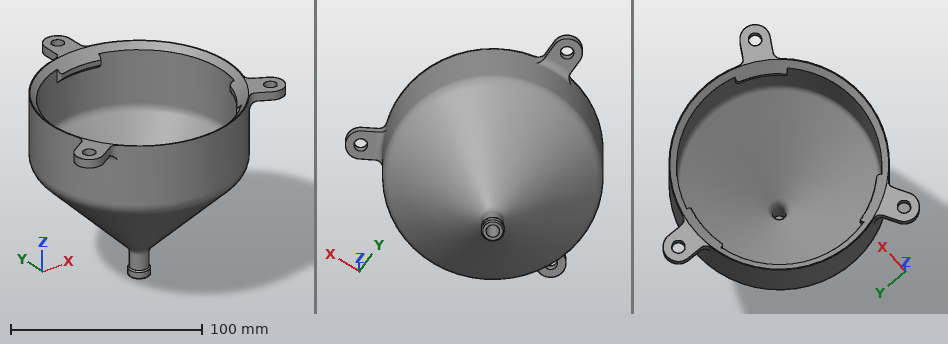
import cadquery as cq
import math

TOTAL_HEIGHT = 107.5
BODY_RADIUS = 57.5
WALL = 4.0
CONE_START_DEPTH = 39.4
SHOULDER_RADIUS = 10.0

SPOUT_RADIUS = 5.25
BORE_RADIUS = 3.5
THROAT_RADIUS = 5.0
COLLAR_RADIUS = 6.0
COLLAR_HEIGHT = 5.0
COLLAR_CHAMFER = COLLAR_RADIUS - SPOUT_RADIUS

RIM_LAND = 0.5

LUG_COUNT = 3
LUG_FIRST_ANGLE = 90
LUG_CENTRE_RADIUS = 69.0
LUG_END_RADIUS = 8.0
LUG_HOLE_DIAMETER = 7.0
LUG_THICKNESS = 5.0
LUG_ROOT_FILLET = 4.0

TAB_HALF_ANGLE = 15.0
TAB_INNER_RADIUS = 51.0
TAB_BOTTOM_DEPTH = 9.0
TAB_CORNER_RADIUS = 1.5

INNER_RADIUS = BODY_RADIUS - WALL
TOLERANCE = 0.01
LUG_ANGLES = [LUG_FIRST_ANGLE + i * 360 / LUG_COUNT for i in range(LUG_COUNT)]
CONE_TURN = math.radians(45)


def rounding_points(corner_radius, corner_depth, rounding, side):
    """Start, middle and end (r, z) of a rounding between a vertical wall and the 45 degree cone.

    The start lies on the vertical wall. side is 1 where the wall is above the cone
    and -1 where it is below.
    """
    setback = rounding * math.tan(CONE_TURN / 2)
    centre_r = corner_radius - side * rounding
    centre_z = -corner_depth + side * setback
    points = []
    for turn in (0, CONE_TURN / 2, CONE_TURN):
        r = centre_r + side * rounding * math.cos(turn)
        z = centre_z - side * rounding * math.sin(turn)
        points.append((r, z))
    return points


def revolve_profile(profile):
    """Close an (r, z) outline and turn it about the funnel axis."""
    return profile.close().revolve(360, (0, 0, 0), (0, 1, 0))


def make_outer_body():
    spout_corner_depth = CONE_START_DEPTH + BODY_RADIUS - SPOUT_RADIUS
    shoulder = rounding_points(BODY_RADIUS, CONE_START_DEPTH, SHOULDER_RADIUS, 1)
    throat = rounding_points(SPOUT_RADIUS, spout_corner_depth, THROAT_RADIUS, -1)
    collar_top = -TOTAL_HEIGHT + COLLAR_HEIGHT
    profile = (
        cq.Workplane("XZ")
        .moveTo(0, 0)
        .lineTo(BODY_RADIUS, 0)
        .lineTo(*shoulder[0])
        .threePointArc(shoulder[1], shoulder[2])
        .lineTo(*throat[2])
        .threePointArc(throat[1], throat[0])
        .lineTo(SPOUT_RADIUS, collar_top)
        .lineTo(COLLAR_RADIUS, collar_top - COLLAR_CHAMFER)
        .lineTo(COLLAR_RADIUS, -TOTAL_HEIGHT + COLLAR_CHAMFER)
        .lineTo(COLLAR_RADIUS - COLLAR_CHAMFER, -TOTAL_HEIGHT)
        .lineTo(0, -TOTAL_HEIGHT)
    )
    return revolve_profile(profile)


def make_cavity():
    """Inside of the funnel, a constant wall thickness away from the outside."""
    corner_depth = CONE_START_DEPTH - WALL * math.tan(CONE_TURN / 2)
    bore_corner_depth = corner_depth + INNER_RADIUS - BORE_RADIUS
    shoulder = rounding_points(INNER_RADIUS, corner_depth, SHOULDER_RADIUS - WALL, 1)
    throat = rounding_points(BORE_RADIUS, bore_corner_depth, THROAT_RADIUS + WALL, -1)
    profile = (
        cq.Workplane("XZ")
        .moveTo(0, 0)
        .lineTo(INNER_RADIUS, 0)
        .lineTo(*shoulder[0])
        .threePointArc(shoulder[1], shoulder[2])
        .lineTo(*throat[2])
        .threePointArc(throat[1], throat[0])
        .lineTo(BORE_RADIUS, -TOTAL_HEIGHT)
        .lineTo(0, -TOTAL_HEIGHT)
    )
    return revolve_profile(profile)


def make_lug(angle):
    """Lug with a rounded end, reaching inward into the body wall."""
    root = INNER_RADIUS + WALL / 2
    lug = (
        cq.Workplane("XY")
        .moveTo(root, -LUG_END_RADIUS)
        .lineTo(LUG_CENTRE_RADIUS, -LUG_END_RADIUS)
        .threePointArc((LUG_CENTRE_RADIUS + LUG_END_RADIUS, 0), (LUG_CENTRE_RADIUS, LUG_END_RADIUS))
        .lineTo(root, LUG_END_RADIUS)
        .close()
        .extrude(-LUG_THICKNESS)
    )
    return lug.rotate((0, 0, 0), (0, 0, 1), angle)


def make_lug_hole(angle):
    hole = (
        cq.Workplane("XY")
        .center(LUG_CENTRE_RADIUS, 0)
        .circle(LUG_HOLE_DIAMETER / 2)
        .extrude(-LUG_THICKNESS)
    )
    return hole.rotate((0, 0, 0), (0, 0, 1), angle)


def fillet_lug_roots(body):
    """Round the sides and underside of each lug where it meets the body."""
    roots = []
    for edge in body.edges().vals():
        ends = [edge.startPoint(), edge.endPoint()]
        on_wall = all(abs(math.hypot(p.x, p.y) - BODY_RADIUS) < TOLERANCE for p in ends)
        within_lug = edge.BoundingBox().zmin > -LUG_THICKNESS - TOLERANCE
        below_rim = edge.Center().z < -TOLERANCE
        if on_wall and within_lug and below_rim:
            roots.append(edge)
    return body.newObject(roots).fillet(LUG_ROOT_FILLET)


def make_tab(angle):
    """Sector of a ring projecting inward from the wall beside a lug, with a 45 degree underside.

    Only the inner corner at the counterclockwise end is rounded.
    """
    outer_radius = INNER_RADIUS + WALL / 2
    outer_depth = TAB_BOTTOM_DEPTH + outer_radius - TAB_INNER_RADIUS
    tab = (
        cq.Workplane("XZ")
        .moveTo(TAB_INNER_RADIUS, 0)
        .lineTo(outer_radius, 0)
        .lineTo(outer_radius, -outer_depth)
        .lineTo(TAB_INNER_RADIUS, -TAB_BOTTOM_DEPTH)
        .close()
        .revolve(2 * TAB_HALF_ANGLE, (0, 0, 0), (0, -1, 0))
        .rotate((0, 0, 0), (0, 0, 1), TAB_HALF_ANGLE)
    )
    leading_corner = tab.edges("|Z").edges("<X").edges(">Y")
    tab = leading_corner.fillet(TAB_CORNER_RADIUS)
    return tab.rotate((0, 0, 0), (0, 0, 1), angle)


def make_rim_cone():
    """45 degree countersink that slopes the rim and the tops of the tabs inward."""
    top_radius = BODY_RADIUS - RIM_LAND
    profile = cq.Workplane("XZ").moveTo(0, 0).lineTo(top_radius, 0).lineTo(0, -top_radius)
    return revolve_profile(profile)


body = make_outer_body()
for lug_angle in LUG_ANGLES:
    body = body.union(make_lug(lug_angle))
body = fillet_lug_roots(body)
body = body.cut(make_cavity())
for lug_angle in LUG_ANGLES:
    body = body.union(make_tab(lug_angle))
    body = body.cut(make_lug_hole(lug_angle))
result = body.cut(make_rim_cone())